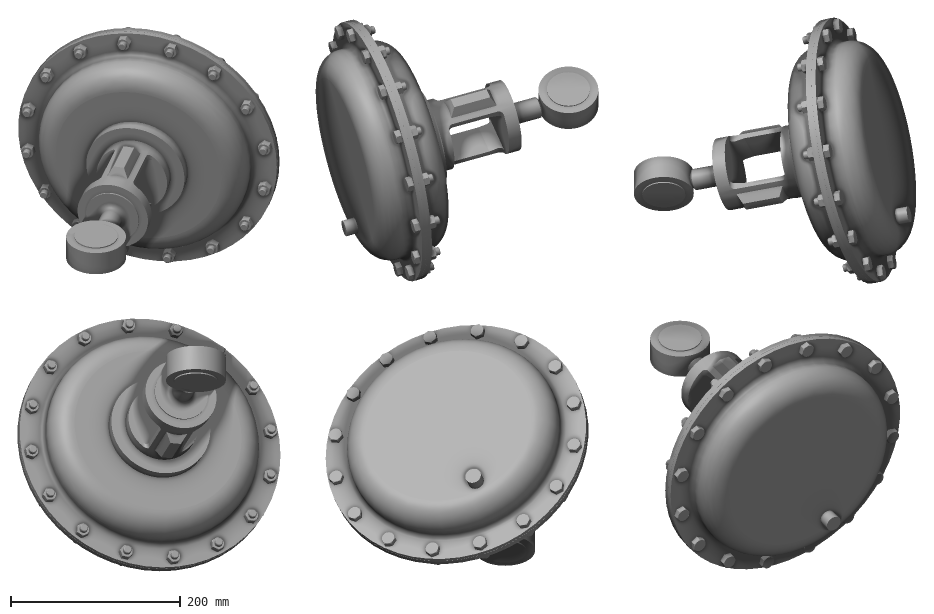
import math

import cadquery as cq


FLANGE_RADIUS = 158.6
FLANGE_HALF_THICKNESS = 6.1
GASKET_RADIUS = 158.75
GASKET_HALF_THICKNESS = 1.15
DOME_RADIUS = 128.6
DOME_HALF_DEPTH = 45.6
DOME_EDGE_RADIUS = 27.0
DOME_ROOT_RADIUS = 6.0

PORT_RADIUS = 9.525
PORT_X = -34.4
PORT_Z = -81.7
PORT_LENGTH = 14.33
PORT_OVERLAP = 1.0

BOLT_COUNT = 16
BOLT_CIRCLE_RADIUS = 147.8
BOLT_START_ANGLE = 10.7
BOLT_RADIUS = 4.76
BOLT_TIP_CHAMFER = 0.8
BOLT_TIP_Y = -20.0
HEAD_ACROSS_CORNERS = 17.5
HEAD_HEIGHT = 7.0
HEAD_TURN = 2.0
NUT_ACROSS_CORNERS = 16.5
NUT_HEIGHT = 8.1
NUT_TURN = 33.0
HEX_CHAMFER_ANGLE = 45.0

COLLAR_RADIUS = 60.2
COLLAR_LENGTH = 14.1
YOKE_RADIUS = 43.2
YOKE_LENGTH = 100.0
WINDOW_BACK_OFFSET = 15.6
WINDOW_LENGTH = 68.7
WINDOW_HALF_HEIGHT = 32.1
WINDOW_CORNER_RADIUS = 6.0
WINDOW_BACK_RADIUS = 1.5
STRUT_WIDTH = 38.9
RAMP_LENGTH = 16.4
RAMP_HEIGHT = 2.9

PAD_BASE_WIDTH = 25.2
PAD_BASE_LENGTH = 57.4
PAD_INSET = 6.2
PAD_BASE_Z = 41.3
PAD_TOP_Z = 52.3
PAD_CENTER_Y = -110.7

RING_RADIUS = 32.2
RING_LENGTH = 1.9
STEM_RADIUS = 12.65
STEM_ROOT_RADIUS = 6.35
STEM_SHOULDER_Y = -195.4
STEM_NECK_RADIUS = 7.0
STEM_TAPER_LENGTH = 4.0

EYE_RADIUS = 35.4
EYE_END_Y = -269.0
EYE_CENTER_Z = 2.3
EYE_THICKNESS = 29.8
EYE_FACE_RADIUS = 25.5
EYE_FACE_THICKNESS = 32.8

collar_end_y = -DOME_HALF_DEPTH - COLLAR_LENGTH
yoke_end_y = collar_end_y - YOKE_LENGTH
ring_end_y = yoke_end_y - RING_LENGTH
window_back_y = collar_end_y - WINDOW_BACK_OFFSET
window_front_y = window_back_y - WINDOW_LENGTH
window_center_y = (window_back_y + window_front_y) / 2
eye_center_y = EYE_END_Y + EYE_RADIUS


def disc(radius, y_from, y_to):
    """Round disc about the Y axis between two stations, y_from being the lower."""
    return cq.Workplane("XZ", origin=(0, y_from, 0)).circle(radius).extrude(y_from - y_to)


def make_housing_half():
    """Domed shell half with its flange, on the +Y side of the joint."""
    edge_start_radius = DOME_RADIUS - DOME_EDGE_RADIUS
    edge_start_y = DOME_HALF_DEPTH - DOME_EDGE_RADIUS
    root_end_y = FLANGE_HALF_THICKNESS + DOME_ROOT_RADIUS
    edge_mid = DOME_EDGE_RADIUS * math.sqrt(0.5)
    root_mid = DOME_ROOT_RADIUS * (1 - math.sqrt(0.5))
    profile = (
        cq.Workplane("XY")
        .lineTo(GASKET_RADIUS, 0)
        .lineTo(GASKET_RADIUS, GASKET_HALF_THICKNESS)
        .lineTo(FLANGE_RADIUS, GASKET_HALF_THICKNESS)
        .lineTo(FLANGE_RADIUS, FLANGE_HALF_THICKNESS)
        .lineTo(DOME_RADIUS + DOME_ROOT_RADIUS, FLANGE_HALF_THICKNESS)
        .threePointArc(
            (DOME_RADIUS + root_mid, FLANGE_HALF_THICKNESS + root_mid),
            (DOME_RADIUS, root_end_y),
        )
        .lineTo(DOME_RADIUS, edge_start_y)
        .threePointArc(
            (edge_start_radius + edge_mid, edge_start_y + edge_mid),
            (edge_start_radius, DOME_HALF_DEPTH),
        )
        .lineTo(0, DOME_HALF_DEPTH)
        .close()
    )
    return profile.revolve(360, (0, 0, 0), (0, 1, 0))


def make_housing():
    """Both shell halves joined at the flange, the gasket showing as a thin rim band."""
    half = make_housing_half()
    return half.union(half.mirror("XZ"))


def make_port():
    """Round air connection, sunk slightly into the housing back so that they join."""
    start = (PORT_X, DOME_HALF_DEPTH - PORT_OVERLAP, PORT_Z)
    return cq.Workplane("XZ", origin=start).circle(PORT_RADIUS).extrude(-PORT_LENGTH - PORT_OVERLAP)


def make_hexagon(across_corners, height, turn):
    """Hexagon standing on Z = 0 with the corners of its upper face chamfered."""
    corner_radius = across_corners / 2
    flat_radius = corner_radius * math.cos(math.pi / 6)
    chamfer_drop = (corner_radius - flat_radius) * math.tan(math.radians(HEX_CHAMFER_ANGLE))
    prism = cq.Workplane("XY").polygon(6, across_corners).extrude(height)
    envelope = (
        cq.Workplane("XZ")
        .lineTo(corner_radius, 0)
        .lineTo(corner_radius, height - chamfer_drop)
        .lineTo(flat_radius, height)
        .lineTo(0, height)
        .close()
        .revolve(360, (0, 0, 0), (0, 1, 0))
    )
    return prism.intersect(envelope).rotate((0, 0, 0), (0, 0, 1), turn)


def make_bolt():
    """Bolt, head and nut on the bolt circle at +X, with the nut on the -Y side."""
    head = make_hexagon(HEAD_ACROSS_CORNERS, HEAD_HEIGHT, -HEAD_TURN)
    head = head.rotate((0, 0, 0), (1, 0, 0), -90).translate((0, FLANGE_HALF_THICKNESS, 0))
    nut = make_hexagon(NUT_ACROSS_CORNERS, NUT_HEIGHT, NUT_TURN)
    nut = nut.rotate((0, 0, 0), (1, 0, 0), 90).translate((0, -FLANGE_HALF_THICKNESS, 0))
    shank = disc(BOLT_RADIUS, BOLT_TIP_Y, FLANGE_HALF_THICKNESS)
    shank = shank.faces("<Y").chamfer(BOLT_TIP_CHAMFER)
    return shank.union(head).union(nut).translate((BOLT_CIRCLE_RADIUS, 0, 0))


def make_bolts():
    """All flange bolts, evenly spaced around the Y axis."""
    bolt = make_bolt()
    angles = [BOLT_START_ANGLE + index * 360 / BOLT_COUNT for index in range(BOLT_COUNT)]
    turned = [bolt.rotate((0, 0, 0), (0, 1, 0), -angle).val() for angle in angles]
    return cq.Workplane(cq.Compound.makeCompound(turned))


def make_ramp():
    """Wedge that thickens the upper strut inward toward the front of the window."""
    return (
        cq.Workplane("YZ")
        .moveTo(window_front_y, WINDOW_HALF_HEIGHT)
        .lineTo(window_front_y, WINDOW_HALF_HEIGHT - RAMP_HEIGHT)
        .lineTo(window_front_y + RAMP_LENGTH, WINDOW_HALF_HEIGHT)
        .close()
        .extrude(YOKE_RADIUS, both=True)
    )


def make_pad():
    """Tapered pad on the top strut, its four sides sloping in equally."""
    return (
        cq.Workplane("XY", origin=(0, PAD_CENTER_Y, PAD_BASE_Z))
        .rect(PAD_BASE_WIDTH, PAD_BASE_LENGTH)
        .workplane(offset=PAD_TOP_Z - PAD_BASE_Z)
        .rect(PAD_BASE_WIDTH - 2 * PAD_INSET, PAD_BASE_LENGTH - 2 * PAD_INSET)
        .loft(ruled=True)
    )


def make_yoke():
    """Round yoke opened by a window along X, leaving an upper and a lower strut."""
    yoke = disc(YOKE_RADIUS, yoke_end_y, collar_end_y)

    window = cq.Workplane("XY").box(2 * YOKE_RADIUS, WINDOW_LENGTH, 2 * WINDOW_HALF_HEIGHT)
    window = window.edges("|X and >Y").fillet(WINDOW_BACK_RADIUS)
    window = window.translate((0, window_center_y, 0))
    ramp = make_ramp()
    window = window.cut(ramp).cut(ramp.mirror("XY"))
    yoke = yoke.cut(window)

    side_cut = (
        cq.Workplane("XY")
        .box(2 * YOKE_RADIUS, WINDOW_LENGTH, 2 * YOKE_RADIUS)
        .edges("<X and |Z")
        .fillet(WINDOW_CORNER_RADIUS)
        .translate((STRUT_WIDTH / 2 + YOKE_RADIUS, window_center_y, 0))
    )
    yoke = yoke.cut(side_cut).cut(side_cut.mirror("YZ"))

    pad = make_pad()
    return yoke.union(pad).union(pad.mirror("XY"))


def make_stem():
    """Flared stem on a thin ring, tapering to a neck that runs into the rod eye."""
    root_mid = STEM_ROOT_RADIUS * (1 - math.sqrt(0.5))
    neck_start_y = STEM_SHOULDER_Y - STEM_TAPER_LENGTH
    return (
        cq.Workplane("XY")
        .moveTo(0, yoke_end_y)
        .lineTo(RING_RADIUS, yoke_end_y)
        .lineTo(RING_RADIUS, ring_end_y)
        .lineTo(STEM_RADIUS + STEM_ROOT_RADIUS, ring_end_y)
        .threePointArc(
            (STEM_RADIUS + root_mid, ring_end_y - root_mid),
            (STEM_RADIUS, ring_end_y - STEM_ROOT_RADIUS),
        )
        .lineTo(STEM_RADIUS, STEM_SHOULDER_Y)
        .lineTo(STEM_NECK_RADIUS, neck_start_y)
        .lineTo(STEM_NECK_RADIUS, eye_center_y)
        .lineTo(0, eye_center_y)
        .close()
        .revolve(360, (0, 0, 0), (0, 1, 0))
    )


def make_eye():
    """Solid rod eye with a slightly raised round face on its top and bottom."""
    body = cq.Workplane("XY").cylinder(EYE_THICKNESS, EYE_RADIUS)
    faces = cq.Workplane("XY").cylinder(EYE_FACE_THICKNESS, EYE_FACE_RADIUS)
    return body.union(faces).translate((0, eye_center_y, EYE_CENTER_Z))


result = make_housing().union(make_port())
result = result.union(disc(COLLAR_RADIUS, collar_end_y, -DOME_HALF_DEPTH))
result = result.union(make_yoke()).union(make_stem()).union(make_eye())
result = result.union(make_bolts())